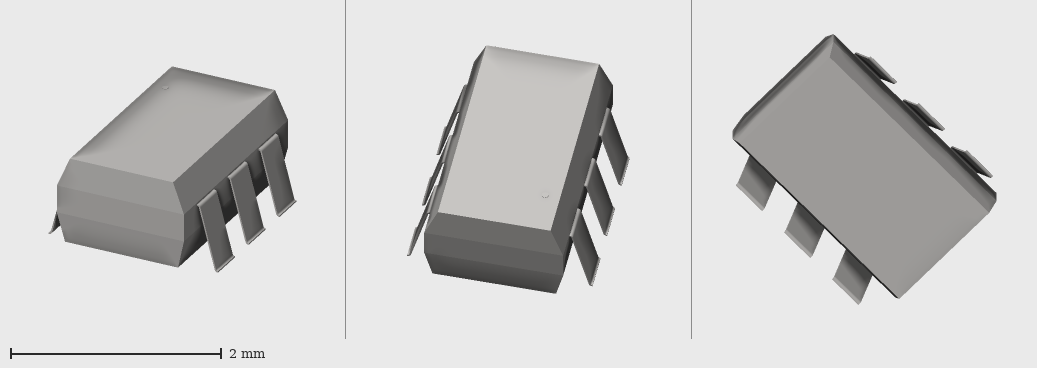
import cadquery as cq
import math

HOUSING_LENGTH = 2.2
HOUSING_WIDTH = 1.35
END_INSET = 0.025
UPPER_SIDE_INSET = 0.128
LOWER_SIDE_INSET = 0.075
HOUSING_BOTTOM = 0.1
BELT_BOTTOM = 0.407
BELT_TOP = 0.693
HOUSING_TOP = 0.997

MARK_DIAMETER = 0.065
MARK_X = -0.403
OVERALL_HEIGHT = 1.0

LEADS_PER_SIDE = 3
LEAD_PITCH = 0.65
LEAD_WIDTH = 0.355
LEAD_THICKNESS = 0.015
LEAD_INNER_RADIUS = 0.018
LEAD_END_FLAT = 0.005
LEAD_TOP = 0.675
LEAD_SPAN = 1.8


def make_frustum(base_z, base_size, end_z, end_size):
    """Loft between two centred horizontal rectangles."""
    return (
        cq.Workplane("XY")
        .workplane(offset=base_z)
        .rect(*base_size)
        .workplane(offset=end_z - base_z)
        .rect(*end_size)
        .loft(ruled=True)
    )


def make_housing():
    belt_size = (HOUSING_WIDTH, HOUSING_LENGTH)
    end_length = HOUSING_LENGTH - 2 * END_INSET
    top_size = (HOUSING_WIDTH - 2 * UPPER_SIDE_INSET, end_length)
    bottom_size = (HOUSING_WIDTH - 2 * LOWER_SIDE_INSET, end_length)

    lower_half = make_frustum(HOUSING_BOTTOM, bottom_size, BELT_BOTTOM, belt_size)
    belt = make_frustum(BELT_BOTTOM, belt_size, BELT_TOP, belt_size)
    upper_half = make_frustum(BELT_TOP, belt_size, HOUSING_TOP, top_size)
    return belt.union(lower_half).union(upper_half)


def make_pin_one_mark():
    """Disc in line with the lead row that is farthest along +Y."""
    mark_y = LEAD_PITCH * (LEADS_PER_SIDE - 1) / 2
    return (
        cq.Workplane("XY")
        .workplane(offset=HOUSING_TOP)
        .center(MARK_X, mark_y)
        .circle(MARK_DIAMETER / 2)
        .extrude(OVERALL_HEIGHT - HOUSING_TOP)
    )


def arc_point(center, radius, angle):
    """Point on a circle at an angle measured clockwise from straight up."""
    return (center[0] + radius * math.sin(angle), center[1] + radius * math.cos(angle))


def make_lead():
    """Lead on the +X side, centred on Y = 0.

    The strip leaves the wall level, bends down, runs straight to the foot
    and bends back to level at the tip.
    """
    wall_x = HOUSING_WIDTH / 2
    tip_x = LEAD_SPAN / 2
    outer_radius = LEAD_INNER_RADIUS + LEAD_THICKNESS
    shoulder_center = (wall_x + LEAD_END_FLAT, LEAD_TOP - outer_radius)
    foot_center = (tip_x - LEAD_END_FLAT, outer_radius)

    center_dx = foot_center[0] - shoulder_center[0]
    center_dz = shoulder_center[1] - foot_center[1]
    center_distance = math.hypot(center_dx, center_dz)
    radius_sum = LEAD_INNER_RADIUS + outer_radius
    slope = math.atan2(center_dz, center_dx) + math.asin(radius_sum / center_distance)
    foot_start = math.pi + slope

    outline = (
        cq.Workplane("XZ")
        .moveTo(wall_x, LEAD_TOP)
        .lineTo(*arc_point(shoulder_center, outer_radius, 0))
        .threePointArc(
            arc_point(shoulder_center, outer_radius, slope / 2),
            arc_point(shoulder_center, outer_radius, slope),
        )
        .lineTo(*arc_point(foot_center, LEAD_INNER_RADIUS, foot_start))
        .threePointArc(
            arc_point(foot_center, LEAD_INNER_RADIUS, math.pi + slope / 2),
            arc_point(foot_center, LEAD_INNER_RADIUS, math.pi),
        )
        .lineTo(tip_x, LEAD_THICKNESS)
        .lineTo(tip_x, 0)
        .lineTo(*arc_point(foot_center, outer_radius, math.pi))
        .threePointArc(
            arc_point(foot_center, outer_radius, math.pi + slope / 2),
            arc_point(foot_center, outer_radius, foot_start),
        )
        .lineTo(*arc_point(shoulder_center, LEAD_INNER_RADIUS, slope))
        .threePointArc(
            arc_point(shoulder_center, LEAD_INNER_RADIUS, slope / 2),
            arc_point(shoulder_center, LEAD_INNER_RADIUS, 0),
        )
        .lineTo(wall_x, LEAD_TOP - LEAD_THICKNESS)
        .close()
    )
    return outline.extrude(LEAD_WIDTH / 2, both=True)


def make_leads():
    lead = make_lead()
    leads = []
    for turn in (0, 180):
        side_lead = lead.rotate((0, 0, 0), (0, 0, 1), turn)
        for index in range(LEADS_PER_SIDE):
            lead_y = LEAD_PITCH * (index - (LEADS_PER_SIDE - 1) / 2)
            leads.append(side_lead.translate((0, lead_y, 0)).val())
    return leads


housing = make_housing()
pin_one_mark = make_pin_one_mark()
leads = make_leads()

result = cq.Compound.makeCompound([housing.val(), pin_one_mark.val(), *leads])